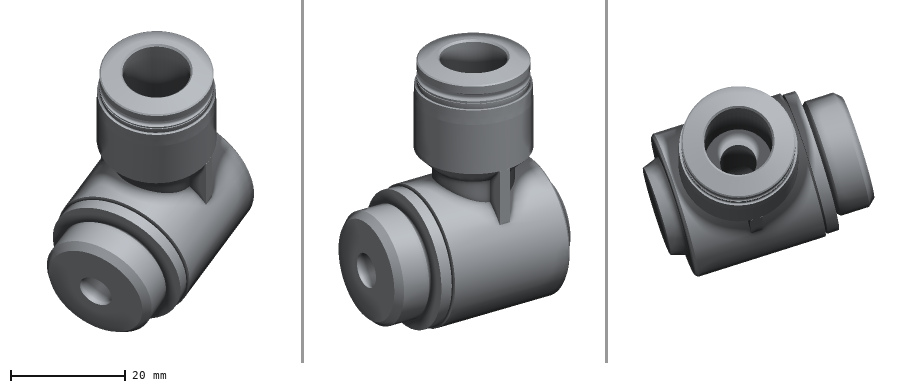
import cadquery as cq

body_dia = 26.3
body_back = 12.0
body_front = -11.85
body_chamfer = 0.45

plug_base_dia = 18.15
plug_end_dia = 16.05
plug_length = 3.0

groove_dia = 24.0
washer_dia = 25.55
washer_back = -12.3
washer_front = -14.4

stud_dia = 21.0
stud_end = -22.0
stud_root_dia = 18.75
stud_root_length = 1.15
stud_tip_length = 1.3

socket_dia = 21.0
socket_top_dia = 20.8
neck_dia = 14.55
neck_top = 15.35
socket_bottom = 18.6
socket_seam = 28.35
socket_top = 31.15

lip_dia = 20.0
lip_seat_dia = 19.8
lip_bottom = 31.95
lip_top = 32.75
lip_groove_height = 0.2
lip_groove_depth = 0.15

collar_dia = 15.0
flange_dia = 20.0
flange_bottom = 34.2
flange_edge = 35.7
flange_rim_dia = 19.5
flange_rim = 35.85
overall_height = 49.55
flange_top = overall_height - body_dia / 2
mouth_dia = 12.7

tube_bore_dia = 12.0
tube_bore_floor = 18.6
mouth_chamfer = (mouth_dia - tube_bore_dia) / 2
passage_dia = 6.4
rib_thickness = 2.1


def turned_along_y(stations):
    """Solid of revolution about Y through (diameter, y) stations."""
    outline = [(dia / 2, y) for dia, y in stations]
    closed = [(0, stations[0][1])] + outline + [(0, stations[-1][1])]
    return cq.Workplane("XY").polyline(closed).close().revolve(360, (0, 0), (0, 1))


def turned_along_z(stations):
    """Solid of revolution about Z through (diameter, z) stations."""
    outline = [(dia / 2, z) for dia, z in stations]
    closed = [(0, stations[0][1])] + outline + [(0, stations[-1][1])]
    return cq.Workplane("XZ").polyline(closed).close().revolve(360, (0, 0), (0, 1))


banjo = turned_along_y([
    (stud_root_dia, stud_end),
    (stud_dia, stud_end + stud_tip_length),
    (stud_dia, washer_front - stud_root_length),
    (stud_root_dia, washer_front),
    (washer_dia, washer_front),
    (washer_dia, washer_back),
    (groove_dia, washer_back),
    (groove_dia, body_front),
    (body_dia, body_front),
    (body_dia, body_back - body_chamfer),
    (body_dia - 2 * body_chamfer, body_back),
    (plug_base_dia, body_back),
    (plug_end_dia, body_back + plug_length),
])

lip_middle = (lip_bottom + lip_top) / 2
lip_groove_dia = lip_dia - 2 * lip_groove_depth
socket = turned_along_z([
    (neck_dia, 0),
    (neck_dia, neck_top),
    (socket_dia, socket_bottom),
    (socket_dia, socket_seam),
    (socket_top_dia, socket_top),
    (lip_seat_dia, socket_top),
    (lip_seat_dia, lip_bottom),
    (lip_dia, lip_bottom),
    (lip_dia, lip_middle - lip_groove_height / 2),
    (lip_groove_dia, lip_middle - lip_groove_height / 2),
    (lip_groove_dia, lip_middle + lip_groove_height / 2),
    (lip_dia, lip_middle + lip_groove_height / 2),
    (lip_dia, lip_top),
    (collar_dia, lip_top),
    (collar_dia, flange_bottom),
    (flange_dia, flange_bottom),
    (flange_dia, flange_edge),
    (flange_rim_dia, flange_rim),
    (mouth_dia, flange_top),
])

web = cq.Workplane("XY").box(
    socket_dia, rib_thickness, socket_bottom, centered=(True, True, False)
)

tube_bore = turned_along_z([
    (tube_bore_dia, tube_bore_floor),
    (tube_bore_dia, flange_top - mouth_chamfer),
    (mouth_dia, flange_top),
])

stud_passage = turned_along_y([(passage_dia, stud_end), (passage_dia, 0)])
socket_passage = turned_along_z([(passage_dia, 0), (passage_dia, tube_bore_floor)])
corner = cq.Workplane("XY").sphere(passage_dia / 2)
passage = stud_passage.union(socket_passage).union(corner)

result = banjo.union(socket).union(web).cut(tube_bore).cut(passage)